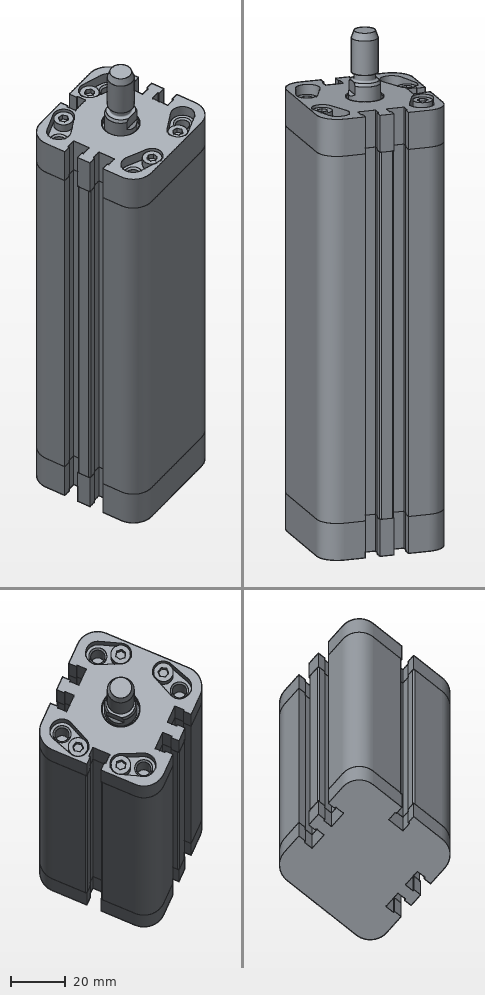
import cadquery as cq
import math

body_width = 49.0
corner_radius = 8.0
total_height = 194.5
body_height = 169.2
cap_height = 14.2
barrel_height = body_height - 2 * cap_height
front_cap_base = body_height - cap_height
half_width = body_width / 2

slot_mouth_width = 5.6
slot_inner_width = 6.8
slot_lip = 3.1
slot_depth = 6.8
slot_offset = 5.55
mouth_bevel_size = 0.5

hole_position = 16.3
screw_x = 19.5
screw_y = 8.5
pocket_depth = 4.3
pocket_hole_diameter = 9.0
pocket_screw_diameter = 8.0
screw_head_diameter = 7.2
screw_head_drop = 1.0
socket_diameter = 3.9
socket_depth = 2.0
socket_turn = 15
hole_diameter = 5.3
hole_mouth_diameter = 6.6
pocket_floor = body_height - pocket_depth

rod_diameter = 12.0
recess_diameter = 13.6
recess_depth = 2.0
recess_mouth_diameter = 14.2
shoulder_top = 175.6
shoulder_chamfer_height = 1.2
shoulder_chamfer = 0.5
flat_width = 10.0
flat_base = 171.2
neck_diameter = 8.0
neck_fillet = 0.5
thread_diameter = 10.0
thread_base = 178.5
thread_tip_diameter = 8.0
thread_tip_height = 2.7
rod_radius = rod_diameter / 2


def turned_about_z(shape, angle):
    return shape.rotate((0, 0, 0), (0, 0, 1), angle)


def disc(diameter, base, height):
    return cq.Workplane("XY", origin=(0, 0, base)).circle(diameter / 2).extrude(height)


def mouth_chamfer(diameter, mouth_diameter, top):
    """45-degree cone cutter that widens a bore to mouth_diameter at height top."""
    depth = (mouth_diameter - diameter) / 2
    base = cq.Vector(0, 0, top - depth)
    return cq.Workplane(cq.Solid.makeCone(diameter / 2, mouth_diameter / 2, depth, base))



def slot_block(width, start, height):
    """Block of a T-slot that runs from start below the -Y face to the slot floor."""
    return (
        cq.Workplane("XY", origin=(0, start - half_width, 0))
        .box(width, slot_depth - start, height, centered=(True, False, False))
    )


def t_slot(height):
    """T-slot cutter that opens at the -Y face, centred on X = 0."""
    mouth = slot_block(slot_mouth_width, 0, height)
    return mouth.union(slot_block(slot_inner_width, slot_lip, height))


def profile(height):
    """Square prism with rounded corners and the five T-slots, standing on Z = 0."""
    body = (
        cq.Workplane("XY")
        .rect(body_width, body_width)
        .extrude(height)
        .edges("|Z")
        .fillet(corner_radius)
    )
    slot = t_slot(height)
    for face_angle in (0, 180):
        for side in (-1, 1):
            shifted_slot = slot.translate((side * slot_offset, 0, 0))
            body = body.cut(turned_about_z(shifted_slot, face_angle))
    return body.cut(turned_about_z(slot, -90))



def make_rear_cap():
    return profile(cap_height)



def mouth_bevel(edge_x, direction):
    """Cutter that bevels the vertical edge at edge_x on the -Y face, towards direction in X."""
    return (
        cq.Workplane("XY")
        .polyline([
            (edge_x, -half_width),
            (edge_x + direction * mouth_bevel_size, -half_width),
            (edge_x, -half_width + mouth_bevel_size),
        ])
        .close()
        .extrude(barrel_height)
    )


def make_barrel():
    """Barrel with bevels on the ribs between the paired slots and at the mouth of the single slot."""
    barrel = profile(barrel_height)
    rib_half_width = slot_offset - slot_mouth_width / 2
    for side in (-1, 1):
        rib_bevel = mouth_bevel(side * rib_half_width, -side)
        single_slot_bevel = mouth_bevel(side * slot_mouth_width / 2, side)
        for bevel, face_angle in ((rib_bevel, 0), (rib_bevel, 180), (single_slot_bevel, -90)):
            barrel = barrel.cut(turned_about_z(bevel, face_angle))
    return barrel.translate((0, 0, cap_height))



def corner_pocket():
    """Pocket cutter around two circles, joined by their common tangents."""
    screw_radius = pocket_screw_diameter / 2
    hole_radius = pocket_hole_diameter / 2
    run_x = hole_position - screw_x
    run_y = hole_position - screw_y
    run_angle = math.atan2(run_y, run_x)
    tangent_angle = math.acos((screw_radius - hole_radius) / math.hypot(run_x, run_y))

    def on_screw_circle(angle):
        return (
            screw_x + screw_radius * math.cos(run_angle + angle),
            screw_y + screw_radius * math.sin(run_angle + angle),
        )

    def on_hole_circle(angle):
        return (
            hole_position + hole_radius * math.cos(run_angle + angle),
            hole_position + hole_radius * math.sin(run_angle + angle),
        )

    return (
        cq.Workplane("XY", origin=(0, 0, pocket_floor))
        .moveTo(*on_screw_circle(tangent_angle))
        .threePointArc(on_screw_circle(math.pi), on_screw_circle(-tangent_angle))
        .lineTo(*on_hole_circle(-tangent_angle))
        .threePointArc(on_hole_circle(0), on_hole_circle(tangent_angle))
        .close()
        .extrude(pocket_depth)
    )


def screw_head():
    """Screw head with a hexagon socket, standing on the pocket floor."""
    head_top = body_height - screw_head_drop
    head = disc(screw_head_diameter, pocket_floor, head_top - pocket_floor)
    socket = (
        cq.Workplane("XY", origin=(0, 0, head_top - socket_depth))
        .polygon(6, socket_diameter)
        .extrude(socket_depth)
    )
    head = head.cut(turned_about_z(socket, socket_turn))
    return head.translate((screw_x, screw_y, 0))


def threaded_hole():
    """Cutter for the countersunk hole from the pocket floor through the cap."""
    hole = disc(hole_diameter, front_cap_base, pocket_floor - front_cap_base)
    hole = hole.union(mouth_chamfer(hole_diameter, hole_mouth_diameter, pocket_floor))
    return hole.translate((hole_position, hole_position, 0))


def rod_bore():
    """Cutter for the rod's bore, with the recess around the rod at the top."""
    bore = disc(rod_diameter, front_cap_base, cap_height)
    recess = disc(recess_diameter, body_height - recess_depth, recess_depth)
    return bore.union(recess).union(mouth_chamfer(recess_diameter, recess_mouth_diameter, body_height))


def make_front_cap():
    cap = profile(cap_height).translate((0, 0, front_cap_base))
    corner_cut = corner_pocket().union(threaded_hole())
    head = screw_head()
    mirrored_cut = corner_cut.mirror("YZ")
    mirrored_head = head.mirror("YZ")
    for angle in (0, 180):
        cap = cap.cut(turned_about_z(corner_cut, angle)).cut(turned_about_z(mirrored_cut, angle))
        cap = cap.union(turned_about_z(head, angle)).union(turned_about_z(mirrored_head, angle))
    return cap.cut(rod_bore())



def flat_cutter(side):
    """Cutter for a wrench flat on the rod's side in X, ending in a 45-degree slope."""
    flat_x = flat_width / 2
    return (
        cq.Workplane("XZ")
        .polyline([
            (side * flat_x, flat_base),
            (side * rod_radius, flat_base - (rod_radius - flat_x)),
            (side * rod_radius, shoulder_top),
            (side * flat_x, shoulder_top),
        ])
        .close()
        .extrude(rod_radius, both=True)
    )


def make_rod():
    neck_radius = neck_diameter / 2
    fillet_reach = neck_fillet * (1 - math.sqrt(0.5))
    rod = (
        cq.Workplane("XZ")
        .moveTo(0, front_cap_base)
        .lineTo(rod_radius, front_cap_base)
        .lineTo(rod_radius, shoulder_top - shoulder_chamfer_height)
        .lineTo(rod_radius - shoulder_chamfer, shoulder_top)
        .lineTo(neck_radius + neck_fillet, shoulder_top)
        .threePointArc(
            (neck_radius + fillet_reach, shoulder_top + fillet_reach),
            (neck_radius, shoulder_top + neck_fillet),
        )
        .lineTo(neck_radius, thread_base - neck_fillet)
        .threePointArc(
            (neck_radius + fillet_reach, thread_base - fillet_reach),
            (neck_radius + neck_fillet, thread_base),
        )
        .lineTo(thread_diameter / 2, thread_base)
        .lineTo(thread_diameter / 2, total_height - thread_tip_height)
        .lineTo(thread_tip_diameter / 2, total_height)
        .lineTo(0, total_height)
        .close()
        .revolve(360, (0, 0, 0), (0, 1, 0))
    )
    for side in (-1, 1):
        rod = rod.cut(flat_cutter(side))
    return rod


rear_cap = make_rear_cap()
barrel = make_barrel()
front_cap = make_front_cap()
rod = make_rod()

result = cq.Compound.makeCompound([rear_cap.val(), barrel.val(), front_cap.val(), rod.val()])